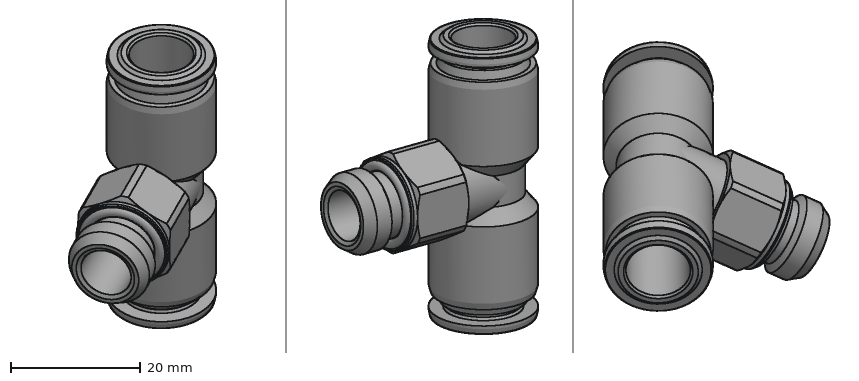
import cadquery as cq
import math

height = 47.0
body_radius = 17.0 / 2
waist_radius = 13.0 / 2
waist_half_height = 2.6
socket_start = 5.05
socket_end = 18.95
shoulder_height = 1.15
shoulder_radius = 8.2

guide_base_radius = 7.3
guide_tip_radius = 6.8
guide_end = 20.35
collar_neck_radius = 12.0 / 2
collar_neck_end = 21.05
flange_bottom = 21.53
flange_edge = 22.05
flange_top = 23.05
flange_top_radius = 8.3
flange_bevel = 0.15
rim_base_radius = 6.8
rim_radius = 6.2
collar_flare_radius = 6.25

through_radius = 8.5 / 2
socket_bore_radius = 10.0 / 2
socket_bore_depth = 16.0
mouth_radius = 10.7 / 2
mouth_depth = mouth_radius - socket_bore_radius

branch_length = 36.0 - body_radius
hex_start = 8.55
hex_end = 18.5
hex_flats = 15.0
hex_corner_radius = 8.3
hex_chamfer_angle = 30.0
seal_seat_radius = hex_flats / 2
seal_seat_end = 19.2
seal_face = 19.5
seal_face_radius = 7.35
seal_ring_radius = 6.25
seal_section_radius = 0.8
groove_radius = 10.7 / 2
thread_start = 22.05
thread_full_start = 22.8
thread_full_end = 25.65
thread_radius = 13.15 / 2
thread_tip_radius = 5.45
branch_bore_radius = 8.2 / 2
branch_mouth_radius = 4.75
branch_mouth_depth = 0.38


def revolve_run(profile):
    """Revolve (radius, z) points about the Z axis."""
    return cq.Workplane("XZ").polyline(profile).close().revolve(360, (0, 0), (0, 1))


def revolve_branch(sketch):
    """Revolve an outline of (radius, distance) about the branch axis, pointing to -Y."""
    return sketch.close().revolve(360, (0, 0), (0, 1))


def branch_plane():
    """Plane with radius along X and distance from the run axis along -Y."""
    return cq.Workplane(cq.Plane(origin=(0, 0, 0), xDir=(1, 0, 0), normal=(0, 0, -1)))


def make_run_half():
    return revolve_run([
        (0, 0),
        (waist_radius, 0),
        (waist_radius, waist_half_height),
        (body_radius, socket_start),
        (body_radius, socket_end - shoulder_height),
        (shoulder_radius, socket_end),
        (guide_base_radius, socket_end),
        (guide_tip_radius, guide_end),
        (collar_neck_radius, guide_end),
        (collar_neck_radius, collar_neck_end),
        (collar_flare_radius, flange_bottom),
        (body_radius, flange_bottom),
        (body_radius, flange_edge),
        (flange_top_radius, flange_top - flange_bevel),
        (flange_top_radius - flange_bevel, flange_top),
        (rim_base_radius, flange_top),
        (rim_radius, height / 2),
        (0, height / 2),
    ])


def make_run_bore_half():
    socket_floor = height / 2 - socket_bore_depth
    return revolve_run([
        (0, 0),
        (through_radius, 0),
        (through_radius, socket_floor),
        (socket_bore_radius, socket_floor),
        (socket_bore_radius, height / 2 - mouth_depth),
        (mouth_radius, height / 2),
        (0, height / 2),
    ])


def mirrored(half):
    return half.union(half.mirror("XY"))


def make_hex():
    """Hexagon with flats facing +X and -X, corners rounded and both ends chamfered."""
    flat_radius = hex_flats / 2
    chamfer_length = (hex_corner_radius - flat_radius) * math.tan(math.radians(hex_chamfer_angle))
    prism = (
        cq.Workplane("XZ", origin=(0, -hex_start, 0))
        .polygon(6, hex_flats, circumscribed=True)
        .extrude(hex_end - hex_start)
    )
    envelope = revolve_branch(branch_plane().polyline([
        (0, hex_start),
        (flat_radius, hex_start),
        (hex_corner_radius, hex_start + chamfer_length),
        (hex_corner_radius, hex_end - chamfer_length),
        (flat_radius, hex_end),
        (0, hex_end),
    ]))
    return prism.intersect(envelope)


def make_branch():
    root = revolve_branch(branch_plane().polyline([
        (0, 0),
        (waist_radius, 0),
        (waist_radius, hex_start),
        (0, hex_start),
    ]))
    spigot = revolve_branch(
        branch_plane()
        .moveTo(0, hex_end)
        .lineTo(seal_seat_radius, hex_end)
        .lineTo(seal_seat_radius, seal_seat_end)
        .lineTo(seal_face_radius, seal_face)
        .lineTo(seal_ring_radius + seal_section_radius, seal_face)
        .threePointArc(
            (seal_ring_radius, seal_face + seal_section_radius),
            (seal_ring_radius - seal_section_radius, seal_face),
        )
        .lineTo(groove_radius, seal_face)
        .lineTo(groove_radius, thread_start)
        .lineTo(thread_radius, thread_full_start)
        .lineTo(thread_radius, thread_full_end)
        .lineTo(thread_tip_radius, branch_length)
        .lineTo(0, branch_length)
    )
    return root.union(make_hex()).union(spigot)


def make_branch_bore():
    return revolve_branch(branch_plane().polyline([
        (0, 0),
        (branch_bore_radius, 0),
        (branch_bore_radius, branch_length - branch_mouth_depth),
        (branch_mouth_radius, branch_length),
        (0, branch_length),
    ]))


outer = mirrored(make_run_half()).union(make_branch())
result = outer.cut(mirrored(make_run_bore_half())).cut(make_branch_bore())